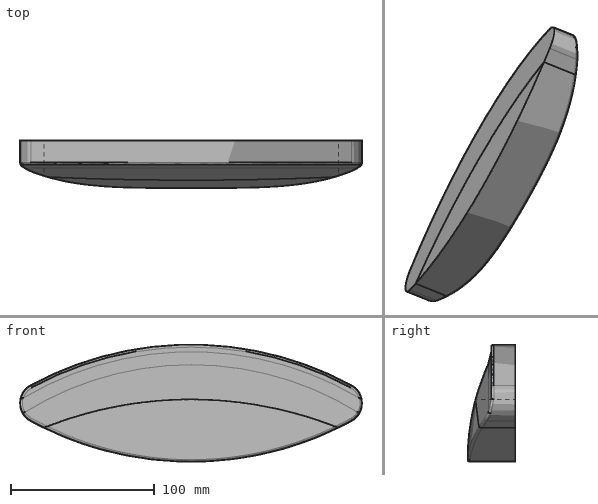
import cadquery as cq
import math

length = 238.3
height = 81.7
outline_radius = 233.5
half_length = length / 2
half_height = height / 2
arc_center_z = half_height - outline_radius

corner_radius = (outline_radius**2 - half_length**2 - arc_center_z**2) / (2 * (outline_radius - half_length))
corner_center_x = half_length - corner_radius
corner_angle = math.atan2(-arc_center_z, corner_center_x)
tangent_x = corner_center_x + corner_radius * math.cos(corner_angle)
tangent_z = corner_radius * math.sin(corner_angle)

depth = 33.4
ledge_depth = 17.0
bevel_top_z = 36.0
dome_top_z = 27.0
dome_top_depth = 19.0
edge_radius = 1.7
dome_peak_z = edge_radius - half_height

joint_top_z = 2.6
joint_radius = 276.5

margin = 12.0


def lens_block():
    """Lens outline with rounded ends, from the back at Y = 0 toward -Y."""
    return (
        cq.Workplane("XZ")
        .moveTo(-tangent_x, tangent_z)
        .threePointArc((0, half_height), (tangent_x, tangent_z))
        .threePointArc((half_length, 0), (tangent_x, -tangent_z))
        .threePointArc((0, -half_height), (-tangent_x, -tangent_z))
        .threePointArc((-half_length, 0), (-tangent_x, tangent_z))
        .close()
        .extrude(depth + margin)
    )


def turned_front(profile):
    """Turn a front profile about the centre of the upper outline arc."""
    return (
        profile
        .lineTo(margin, arc_center_z)
        .lineTo(margin, half_height + margin)
        .close()
        .revolve(360, (0, arc_center_z, 0), (1, arc_center_z, 0))
        .rotate((0, 0, arc_center_z), (0, 1, arc_center_z), 180)
    )


def ledge_front():
    """Flat face parallel to the back."""
    profile = (
        cq.Workplane("YZ")
        .moveTo(-ledge_depth, half_height + margin)
        .lineTo(-ledge_depth, arc_center_z)
    )
    return turned_front(profile)


def bevel_front():
    """Cone that rises from the ledge to the dome."""
    slope = (dome_top_depth - ledge_depth) / (bevel_top_z - dome_top_z)
    outer_z = half_height + margin
    outer_depth = ledge_depth - slope * (outer_z - bevel_top_z)
    tip_depth = ledge_depth + slope * (bevel_top_z - arc_center_z)
    profile = (
        cq.Workplane("YZ")
        .moveTo(-outer_depth, outer_z)
        .lineTo(-tip_depth, arc_center_z)
    )
    return turned_front(profile)


def dome_front():
    """Arc that peaks just inside the lower rim."""
    drop = depth - dome_top_depth
    dome_radius = ((dome_top_z - dome_peak_z) ** 2 + drop**2) / (2 * drop)
    outer_z = half_height + margin
    outer_depth = depth - dome_radius + math.sqrt(dome_radius**2 - (outer_z - dome_peak_z) ** 2)
    lower_z = 2 * dome_peak_z - outer_z
    profile = (
        cq.Workplane("YZ")
        .moveTo(-outer_depth, outer_z)
        .threePointArc((-depth, dome_peak_z), (-outer_depth, lower_z))
        .lineTo(-outer_depth, arc_center_z)
    )
    return turned_front(profile)


def rounded_lens(front):
    """Lens block under one front surface, with its front rim rounded."""
    return lens_block().intersect(front).edges("not(|Y or >Y)").fillet(edge_radius)


def joint_cylinder():
    """Region below the joint, through the full depth of the part."""
    return (
        cq.Workplane("XZ", origin=(0, margin, 0))
        .center(0, joint_top_z - joint_radius)
        .circle(joint_radius)
        .extrude(depth + 2 * margin)
    )


def core_below(top_z):
    """Cylinder about the upper outline centre that reaches up to top_z."""
    return (
        cq.Workplane("XZ", origin=(0, margin, arc_center_z))
        .circle(top_z - arc_center_z)
        .extrude(depth + 2 * margin)
    )


bevel_core = core_below(bevel_top_z)
dome_core = core_below(dome_top_z)
ledge_zone = rounded_lens(ledge_front()).cut(bevel_core)
bevel_zone = rounded_lens(bevel_front()).intersect(bevel_core).cut(dome_core)
dome_zone = rounded_lens(dome_front()).intersect(dome_core)
lens = ledge_zone.union(bevel_zone).union(dome_zone)

lower_region = joint_cylinder()
upper_body = lens.cut(lower_region)
lower_body = lens.intersect(lower_region)

result = cq.Compound.makeCompound([upper_body.val(), lower_body.val()])